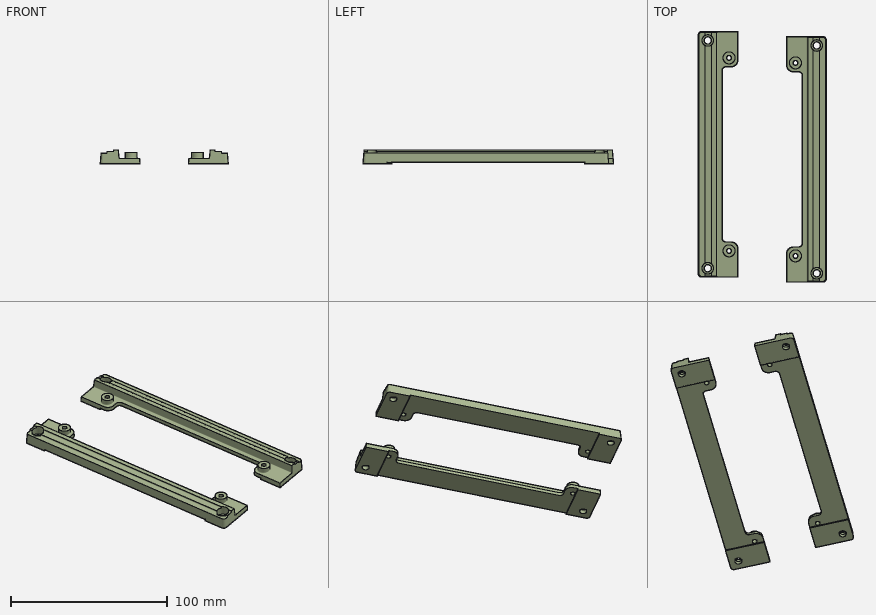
import cadquery as cq
import math

span_x = 81.7
span_y = 159.9
stagger = 3.2
length = span_y - stagger
width = 25.5

foot_height = 1.0
plate_top = 3.5
boss_top = 7.4
rail_top = 9.0
step_drop = 1.0
draft_angle = 5.0
root_fillet = 0.4

rail_width = 12.3
step_edges = [8.5, 4.3]
neck_width = 15.4
tab_length = 22.5
foot_length = 15.2
outer_corner_radius = 2.0
tab_corner_radius = 4.5
neck_corner_radius = 2.4

screw_x = 6.0
screw_spacing = 145.3
screw_radius = 2.2
counterbore_radius = 3.7
counterbore_floor = 3.0

boss_x = 19.7
boss_spacing = 123.1
boss_radius = 3.8
boss_fillet = 0.5
boss_hole_radius = 1.5

half_length = length / 2


def outline_at(outline, z):
    """Workplane holding the outline raised to height z, ready to extrude."""
    return cq.Workplane("XY").add(outline.translate(cq.Vector(0, 0, z))).toPending()


def drafted_prism(outline, bottom, top):
    """Extrude an outline wire upward with every side leaning inward."""
    return outline_at(outline, bottom).extrude(top - bottom, taper=draft_angle)


def plan_outline(points, rounded_corners):
    """Closed polygon wire with chosen corners rounded; each entry is (corner index, radius)."""
    wire = cq.Workplane("XY").polyline(points).close().wire().val()
    for index, radius in rounded_corners:
        corner = cq.Vector(*points[index], 0)
        vertex = min(wire.Vertices(), key=lambda v: (v.Center() - corner).Length)
        wire = wire.fillet2D(radius, [vertex])
    return wire


def plate_outline():
    """C-shaped plan: a narrow neck joining two end tabs."""
    notch_end = half_length - tab_length
    points = [
        (0, -half_length),
        (width, -half_length),
        (width, -notch_end),
        (neck_width, -notch_end),
        (neck_width, notch_end),
        (width, notch_end),
        (width, half_length),
        (0, half_length),
    ]
    rounded = [
        (0, outer_corner_radius),
        (2, tab_corner_radius),
        (3, neck_corner_radius),
        (4, neck_corner_radius),
        (5, tab_corner_radius),
        (7, outer_corner_radius),
    ]
    return plan_outline(points, rounded)


def rail_outline():
    points = [
        (0, -half_length),
        (rail_width, -half_length),
        (rail_width, half_length),
        (0, half_length),
    ]
    return plan_outline(points, [(0, outer_corner_radius), (3, outer_corner_radius)])


def fillet_long_root(body, x, z):
    """Fillet the concave edge that runs along Y at the given X and Z."""
    reach = root_fillet / 4
    around_edge = cq.selectors.BoxSelector(
        (x - reach, -reach, z - reach), (x + reach, reach, z + reach)
    )
    return body.edges("|Y").edges(around_edge).fillet(root_fillet)


def stepped_rail():
    """Tall strip along the outer edge, stepping down twice toward the outside."""
    rail = drafted_prism(rail_outline(), foot_height, rail_top)
    for number, edge in enumerate(step_edges, start=1):
        step_floor = rail_top - number * step_drop
        cutter = cq.Workplane("XY").box(
            edge, length, rail_top - step_floor, centered=(False, True, False)
        )
        rail = rail.cut(cutter.translate((0, 0, step_floor)))
        rail = fillet_long_root(rail, edge, step_floor)
    return rail


def feet(outline):
    """Shallow pads under both ends, following the plate outline."""
    pads = outline_at(outline, 0).extrude(foot_height)
    gap = cq.Workplane("XY").box(
        width, length - 2 * foot_length, foot_height, centered=(False, True, False)
    )
    return pads.cut(gap)


def vertical_cylinder(x, y, radius, bottom, top):
    circle = cq.Workplane("XY", origin=(x, y, bottom)).circle(radius)
    return circle.extrude(top - bottom)


def root_of_boss(y):
    """Selector for the circular edge where a boss meets the plate."""
    reach = boss_radius + boss_fillet
    return cq.selectors.BoxSelector(
        (boss_x - reach, y - reach, plate_top - boss_fillet),
        (boss_x + reach, y + reach, plate_top + boss_fillet),
        boundingbox=True,
    )


def add_boss(body, y):
    """Boss standing on a tab, with a filleted root and a hole right through."""
    body = body.union(vertical_cylinder(boss_x, y, boss_radius, plate_top, boss_top))
    body = body.edges(root_of_boss(y)).fillet(boss_fillet)
    return body.cut(vertical_cylinder(boss_x, y, boss_hole_radius, 0, boss_top))


def cut_screw_hole(body, y):
    """Through hole with a deep counterbore, open at the top of the rail."""
    body = body.cut(vertical_cylinder(screw_x, y, screw_radius, 0, rail_top))
    return body.cut(vertical_cylinder(screw_x, y, counterbore_radius, counterbore_floor, rail_top))


def make_side_rail():
    """One side rail with its outer edge on X = 0, centred on Y = 0."""
    outline = plate_outline()
    body = drafted_prism(outline, foot_height, plate_top).union(stepped_rail())
    draft_shift = (plate_top - foot_height) * math.tan(math.radians(draft_angle))
    body = fillet_long_root(body, rail_width - draft_shift, plate_top)
    body = body.union(feet(outline))
    for end in (-1, 1):
        body = add_boss(body, end * boss_spacing / 2)
        body = cut_screw_hole(body, end * screw_spacing / 2)
    return body


side_rails = []
for side, turn in ((-1, 0), (1, 180)):
    rail = make_side_rail().rotate((0, 0, 0), (0, 0, 1), turn)
    rail = rail.translate((side * span_x / 2, -side * stagger / 2, 0))
    side_rails.append(rail.val())

result = cq.Compound.makeCompound(side_rails)